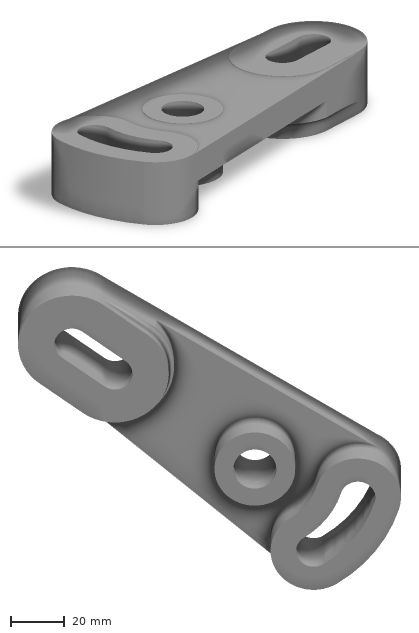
import cadquery as cq
import math

HEIGHT = 25.0
PLATE_THICKNESS = 11.5
BOSS_STEP = 0.25
PLATE_TOP = HEIGHT - BOSS_STEP
PLATE_BOTTOM = PLATE_TOP - PLATE_THICKNESS

PIVOT_BOSS_DIAMETER = 30.0
PIVOT_HOLE_DIAMETER = 16.0

SLOT_WIDTH = 13.0
SLOT_TRAVEL = 20.0
SLOT_CENTRE_Y = 75.0
SLOT_BOSS_RADIUS = 20.0
SLOT_BOSS_FRONT_Y = SLOT_CENTRE_Y - SLOT_TRAVEL / 2
SLOT_BOSS_BACK_Y = SLOT_CENTRE_Y + SLOT_TRAVEL / 2

COLLAR_BOTTOM = 6.5
COLLAR_FILLET = 2.0
COLLAR_RADIUS = SLOT_BOSS_RADIUS + COLLAR_FILLET

ARC_RADIUS = 40.0
ARC_HALF_ANGLE = math.radians(20.0)
ARC_BOSS_RADIUS = 16.0
ARC_END_X = ARC_RADIUS * math.sin(ARC_HALF_ANGLE)
ARC_END_Y = -ARC_RADIUS * math.cos(ARC_HALF_ANGLE)


def obround_prism(width):
    """Full-height obround around the straight slot's centre line."""
    return (
        cq.Workplane("XY")
        .center(0, SLOT_CENTRE_Y)
        .slot2D(SLOT_TRAVEL + width, width, 90)
        .extrude(HEIGHT)
    )


def arc_slot_prism(half_width):
    """Full-height curved obround following the pivot-centred arc."""
    inner = ARC_RADIUS - half_width
    outer = ARC_RADIUS + half_width
    sin_end = math.sin(ARC_HALF_ANGLE)
    cos_end = math.cos(ARC_HALF_ANGLE)
    tip_x = ARC_END_X + half_width * cos_end
    tip_y = ARC_END_Y + half_width * sin_end
    return (
        cq.Workplane("XY")
        .moveTo(-outer * sin_end, -outer * cos_end)
        .threePointArc((0, -outer), (outer * sin_end, -outer * cos_end))
        .threePointArc((tip_x, tip_y), (inner * sin_end, -inner * cos_end))
        .threePointArc((0, -inner), (-inner * sin_end, -inner * cos_end))
        .threePointArc((-tip_x, tip_y), (-outer * sin_end, -outer * cos_end))
        .close()
        .extrude(HEIGHT)
    )


def tapered_prism(bottom):
    """Block from the given height up to the plate top, whose sides are tangent to both end bosses."""
    run = SLOT_BOSS_BACK_Y - ARC_END_Y
    centre_distance = math.hypot(ARC_END_X, run)
    radius_step = ARC_BOSS_RADIUS - SLOT_BOSS_RADIUS
    normal = math.atan2(ARC_END_X, run) + math.asin(radius_step / centre_distance)
    back_x = SLOT_BOSS_RADIUS * math.cos(normal)
    back_y = SLOT_BOSS_BACK_Y + SLOT_BOSS_RADIUS * math.sin(normal)
    front_x = ARC_END_X + ARC_BOSS_RADIUS * math.cos(normal)
    front_y = ARC_END_Y + ARC_BOSS_RADIUS * math.sin(normal)
    return (
        cq.Workplane("XY", origin=(0, 0, bottom))
        .polyline([(-back_x, back_y), (back_x, back_y), (front_x, front_y), (-front_x, front_y)])
        .close()
        .extrude(PLATE_TOP - bottom)
    )


def collar_half_profile(y):
    """Right half of the collar's cross-section, in the XZ plane at the given y."""
    fillet_start_z = COLLAR_BOTTOM - COLLAR_FILLET
    fillet_mid_offset = COLLAR_FILLET * math.sqrt(0.5)
    fillet_mid = (COLLAR_RADIUS - fillet_mid_offset, fillet_start_z + fillet_mid_offset)
    return (
        cq.Workplane("XZ", origin=(0, y, 0))
        .moveTo(0, fillet_start_z)
        .lineTo(SLOT_BOSS_RADIUS, fillet_start_z)
        .threePointArc(fillet_mid, (COLLAR_RADIUS, COLLAR_BOTTOM))
        .lineTo(COLLAR_RADIUS, PLATE_BOTTOM)
        .lineTo(0, PLATE_BOTTOM)
        .close()
    )


def collar():
    """Obround collar with a concave fillet along its lower edge."""
    straight_half = collar_half_profile(SLOT_BOSS_BACK_Y).extrude(SLOT_TRAVEL)
    body = straight_half.union(straight_half.mirror("YZ"))
    for y in (SLOT_BOSS_FRONT_Y, SLOT_BOSS_BACK_Y):
        body = body.union(collar_half_profile(y).revolve(360, (0, 0), (0, 1)))
    return body


plate = tapered_prism(PLATE_BOTTOM)
trimmed_collar = tapered_prism(0).intersect(collar())

pivot_boss = cq.Workplane("XY").circle(PIVOT_BOSS_DIAMETER / 2).extrude(HEIGHT)
body = plate.union(trimmed_collar).union(pivot_boss)
body = body.union(obround_prism(2 * SLOT_BOSS_RADIUS)).union(arc_slot_prism(ARC_BOSS_RADIUS))

pivot_hole = cq.Workplane("XY").circle(PIVOT_HOLE_DIAMETER / 2).extrude(HEIGHT)
result = body.cut(pivot_hole).cut(obround_prism(SLOT_WIDTH)).cut(arc_slot_prism(SLOT_WIDTH / 2))